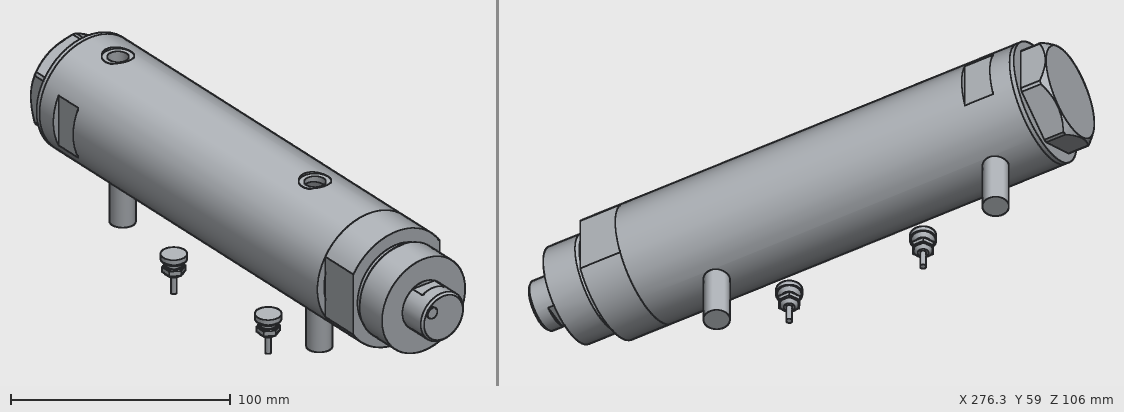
import cadquery as cq
import math


CAP_HEX_END = 13.0
BARREL_START = 15.2
BARREL_END = 220.0
GLAND_SHOULDER_END = 240.8
COLLAR_START = 242.8
GLAND_END = 260.7
ROD_END = 275.5
ROD_START = 38.5
CHAMBER_END = 49.7
GLAND_NOSE_START = 182.3

BARREL_DIAMETER = 59.0
BARREL_RADIUS = BARREL_DIAMETER / 2
BORE_DIAMETER = 51.5
CHAMBER_DIAMETER = 32.0
ROD_DIAMETER = 24.5
CAP_NOSE_DIAMETER = 21.0
COLLAR_DIAMETER = 48.0
COLLAR_CHAMFER = 1.5
GLAND_NECK_DIAMETER = COLLAR_DIAMETER - 2 * COLLAR_CHAMFER

CAP_HEX_FLATS = 45.8
CAP_HEX_CORNERS = 52.0
CAP_FACE_DIAMETER = 45.3
CAP_CHAMFER_LENGTH = 3.0

BARREL_FLAT_START = 25.5
BARREL_FLAT_END = 40.0
BARREL_FLAT_WIDTH = 53.0
GLAND_FLAT_WIDTH = 50.0
ROD_FLAT_END = 268.0
ROD_FLAT_WIDTH = 21.0

PORT_POSITIONS = (35.4, 180.5)
PORT_DIAMETER = 10.0
SPOTFACE_DIAMETER = 15.0
SPOTFACE_DEPTH = 1.0

POST_SPACING = 145.0
POST_MIDPOINT = 111.3
POST_DIAMETER = 12.2
POST_BOTTOM = -56.0

ROD_CHAMFER = 1.0
PIP_DIAMETER = 5.5
PIP_HEIGHT = 0.8
PIP_Y = -7.0
PIP_Z = 5.0

PLUG_SPACING = 69.5
PLUG_LENGTH = 20.5
PLUG_HEAD_THICKNESS = 2.8
PLUG_NECK_START = 4.7
PLUG_HEX_START = 6.0
PLUG_HEX_END = 9.7
PLUG_STEM_START = 11.3
PLUG_CONE_DIAMETER = 11.0
PLUG_NECK_DIAMETER = 7.2
PLUG_TAPER_START_DIAMETER = 8.8
PLUG_TAPER_END_DIAMETER = 5.0
PLUG_HEX_FLATS = 9.5
PLUG_HEX_CHAMFER = 0.5
PLUG_STEM_DIAMETER = 2.8


def rod_along_x(diameter, start, end):
    """Round bar on the cylinder axis from start to end."""
    return cq.Workplane("YZ", origin=(start, 0, 0)).circle(diameter / 2).extrude(end - start)


def rod_down_z(x, diameter, top, bottom):
    """Vertical round bar at the given X from top to bottom."""
    return cq.Workplane("XY", origin=(x, 0, bottom)).circle(diameter / 2).extrude(top - bottom)


def slab(start, end, y_size, z_size):
    """Box centred on the cylinder axis; what lies outside it becomes wrench flats."""
    return cq.Workplane("XY").box(end - start, y_size, z_size).translate(((start + end) / 2, 0, 0))


def cut_flats(body, start, end, y_size, z_size):
    """Trim the stretch from start to end of a body to the given Y and Z sizes."""
    stretch = slab(start, end, 2 * BARREL_DIAMETER, 2 * BARREL_DIAMETER)
    return body.cut(stretch.cut(slab(start, end, y_size, z_size)))


def make_cap():
    """End cap: chamfered hex head, round flange and a nose inside the barrel."""
    corner_to_corner = CAP_HEX_FLATS / math.cos(math.pi / 6)
    hex_head = (
        cq.Workplane("YZ").polygon(6, corner_to_corner).extrude(CAP_HEX_END)
        .rotate((0, 0, 0), (1, 0, 0), 90)
    )
    chamfer_envelope = (
        cq.Workplane("XY")
        .moveTo(0, 0)
        .lineTo(0, CAP_FACE_DIAMETER / 2)
        .lineTo(CAP_CHAMFER_LENGTH, CAP_HEX_CORNERS / 2)
        .lineTo(CAP_HEX_END, CAP_HEX_CORNERS / 2)
        .lineTo(CAP_HEX_END, 0)
        .close()
        .revolve(360, (0, 0, 0), (1, 0, 0))
    )
    flange = rod_along_x(BARREL_DIAMETER, CAP_HEX_END, BARREL_START)
    nose = rod_along_x(CAP_NOSE_DIAMETER, BARREL_START, ROD_START)
    return hex_head.intersect(chamfer_envelope).union(flange).union(nose)


def make_barrel():
    """Barrel with a narrow chamber at the cap end, wrench flats, spotfaced ports and posts."""
    barrel = rod_along_x(BARREL_DIAMETER, BARREL_START, BARREL_END)
    barrel = cut_flats(barrel, BARREL_FLAT_START, BARREL_FLAT_END, BARREL_FLAT_WIDTH, BARREL_DIAMETER)
    for side in (-1, 1):
        post_x = POST_MIDPOINT + side * POST_SPACING / 2
        barrel = barrel.union(rod_down_z(post_x, POST_DIAMETER, 0, POST_BOTTOM))
    barrel = barrel.cut(rod_along_x(CHAMBER_DIAMETER, BARREL_START, CHAMBER_END))
    barrel = barrel.cut(rod_along_x(BORE_DIAMETER, CHAMBER_END, BARREL_END))
    for port_x in PORT_POSITIONS:
        spotface_floor = BARREL_RADIUS - SPOTFACE_DEPTH
        barrel = barrel.cut(rod_down_z(port_x, SPOTFACE_DIAMETER, BARREL_RADIUS, spotface_floor))
        barrel = barrel.cut(rod_down_z(port_x, PORT_DIAMETER, BARREL_RADIUS, 0))
    return barrel


def make_gland():
    """Gland: nose in the bore, flatted shoulder, neck and collar, bored for the rod."""
    nose = rod_along_x(BORE_DIAMETER, GLAND_NOSE_START, BARREL_END)
    shoulder = rod_along_x(BARREL_DIAMETER, BARREL_END, GLAND_SHOULDER_END)
    shoulder = cut_flats(shoulder, BARREL_END, GLAND_SHOULDER_END, GLAND_FLAT_WIDTH, BARREL_DIAMETER)
    neck = rod_along_x(GLAND_NECK_DIAMETER, GLAND_SHOULDER_END, COLLAR_START)
    collar = rod_along_x(COLLAR_DIAMETER, COLLAR_START, GLAND_END).faces("<X").chamfer(COLLAR_CHAMFER)
    gland = nose.union(shoulder).union(neck).union(collar)
    return gland.cut(rod_along_x(ROD_DIAMETER, GLAND_NOSE_START, GLAND_END))


def make_rod():
    """Straight rod with wrench flats and a small pip on its chamfered outer end."""
    rod = rod_along_x(ROD_DIAMETER, ROD_START, ROD_END).faces(">X").chamfer(ROD_CHAMFER)
    rod = cut_flats(rod, GLAND_END, ROD_FLAT_END, ROD_DIAMETER, ROD_FLAT_WIDTH)
    pip = rod_along_x(PIP_DIAMETER, ROD_END, ROD_END + PIP_HEIGHT).translate((0, PIP_Y, PIP_Z))
    return rod.union(pip)


def make_plug(x):
    """Plug with a round head, conical underside, hex ring, taper and thin stem."""
    turned = (
        cq.Workplane("XZ")
        .moveTo(0, 0)
        .lineTo(POST_DIAMETER / 2, 0)
        .lineTo(POST_DIAMETER / 2, -PLUG_HEAD_THICKNESS)
        .lineTo(PLUG_CONE_DIAMETER / 2, -PLUG_HEAD_THICKNESS)
        .lineTo(PLUG_NECK_DIAMETER / 2, -PLUG_NECK_START)
        .lineTo(PLUG_NECK_DIAMETER / 2, -PLUG_HEX_END)
        .lineTo(PLUG_TAPER_START_DIAMETER / 2, -PLUG_HEX_END)
        .lineTo(PLUG_TAPER_END_DIAMETER / 2, -PLUG_STEM_START)
        .lineTo(PLUG_STEM_DIAMETER / 2, -PLUG_STEM_START)
        .lineTo(PLUG_STEM_DIAMETER / 2, -PLUG_LENGTH)
        .lineTo(0, -PLUG_LENGTH)
        .close()
        .revolve(360, (0, 0, 0), (0, 1, 0))
    )
    hex_ring = (
        cq.Workplane("XY", origin=(0, 0, -PLUG_HEX_END))
        .polygon(6, PLUG_HEX_FLATS / math.cos(math.pi / 6))
        .extrude(PLUG_HEX_END - PLUG_HEX_START)
        .faces("<Z or >Z")
        .chamfer(PLUG_HEX_CHAMFER)
    )
    return turned.union(hex_ring).translate((x, 0, POST_BOTTOM))


cap = make_cap()
barrel = make_barrel()
gland = make_gland()
rod = make_rod()
plugs = [make_plug(POST_MIDPOINT + side * PLUG_SPACING / 2) for side in (-1, 1)]

result = cq.Compound.makeCompound(
    [body.solids().val() for body in (cap, barrel, gland, rod, *plugs)]
)